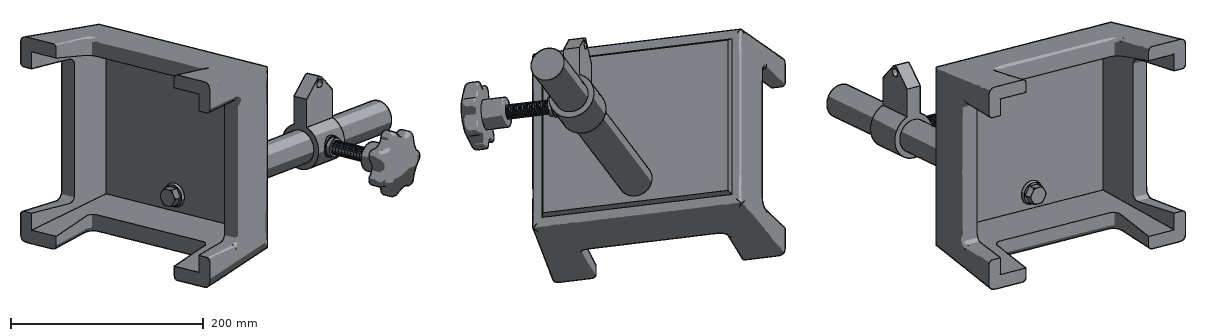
import cadquery as cq
import math


foot_width = 252.77
foot_height = 224.17
foot_depth = 118.65
foot_center_z = 60.7
foot_draft = 6.0
pad_width = 200.0
pad_height = 170.0
pad_thickness = 4.7
pad_chamfer = 3.0
open_end_y = -foot_depth
shoulder_y = -pad_thickness
draft_inset = (foot_depth - pad_thickness) * math.tan(math.radians(foot_draft))

edge_setback = 10.0
edge_fullness = 0.8

rim_wall = 14.8
floor_width = 183.4
floor_height = 156.6
hollow_depth = 98.0
floor_y = open_end_y + hollow_depth

notch_width = 157.5
notch_depth = 56.6
notch_corner_radius = 7.5
notch_edge_radius = 4.5

column_radius = 18.0
column_length = 314.5

bolt_flange_diameter = 26.0
bolt_flange_thickness = 3.0
bolt_flange_taper = 25.0
bolt_across_flats = 18.0
bolt_head_height = 12.0
bolt_face_chamfer = 1.0
bolt_diameter = 12.0
bolt_engagement = 25.0

clamp_y = 207.5
clamp_radius = 24.4
clamp_width = 42.7
lug_thickness = 17.0
lug_shoulder_z = 53.5
lug_nose_radius = 4.5
lug_hole_z = 65.5
lug_hole_diameter = 9.0

bushing_radius = 10.0
bushing_collar_radius = 11.5
bushing_step_x = 25.0
bushing_end_x = 29.7

screw_radius = 7.5
thread_pitch = 2.0
thread_depth = 1.0
screw_depth_in_knob = 20.0

hub_start_x = 75.8
hub_radius = 15.8
hub_edge_radius = 1.5
wheel_start_x = 99.7
knob_end_x = 122.3
dome_radius = 85.0
lobe_count = 7
lobe_radius = 7.0
lobe_center_radius = 29.0
valley_root_radius = 28.0
wheel_back_radius = 2.5
wheel_front_radius = 6.0


def y_cylinder(radius, start_y, length):
    """Cylinder along +Y, centred on the column axis."""
    return cq.Workplane("XZ", origin=(0, start_y, 0)).circle(radius).extrude(-length)


def x_cylinder(radius, start_x, end_x):
    """Cylinder along +X, centred on the clamping screw axis."""
    return cq.Workplane("YZ", origin=(start_x, clamp_y, 0)).circle(radius).extrude(end_x - start_x)


def foot_plane(y):
    """Plane square to Y, centred on the foot, with its normal towards -Y."""
    return cq.Workplane("XZ", origin=(0, y, foot_center_z))


def across_x_plane():
    """Plane square to X, centred on the foot, with local axes Z and Y."""
    return cq.Workplane(cq.Plane(origin=(0, 0, foot_center_z), xDir=(0, 0, 1), normal=(-1, 0, 0)))


def across_z_plane():
    """Plane square to Z, centred on the foot, with local axes X and Y."""
    return cq.Workplane("XY", origin=(0, 0, foot_center_z))


def point_towards(start, end, distance):
    """Point on the straight line from start to end, the given distance from start."""
    share = distance / math.dist(start, end)
    return (start[0] + share * (end[0] - start[0]), start[1] + share * (end[1] - start[1]))


def eased_outline(workplane, corners, eased):
    """Closed polygon whose corners flagged in `eased` become smooth curves tangent to both sides."""
    handle = edge_setback * (1 - edge_fullness)
    outline = None
    for i, corner in enumerate(corners):
        before = corners[i - 1]
        after = corners[(i + 1) % len(corners)]
        if eased[i]:
            entry = point_towards(corner, before, edge_setback)
            leave = point_towards(corner, after, edge_setback)
            pull_in = point_towards(corner, before, handle)
            pull_out = point_towards(corner, after, handle)
        else:
            entry = corner
        outline = workplane.moveTo(*entry) if outline is None else outline.lineTo(*entry)
        if eased[i]:
            outline = outline.bezier([pull_in, pull_out, leave], includeCurrent=True)
    return outline.close()


def rectangle_corners(width, height):
    """Corners of a rectangle centred on the origin."""
    x = width / 2
    y = height / 2
    return [(-x, -y), (x, -y), (x, y), (-x, y)]


def draft_profile(workplane, rim_span):
    """Drafted side profile of the foot with its two shoulder corners eased, swept right across it."""
    rim = rim_span / 2
    shoulder = rim - draft_inset
    corners = [(-rim, open_end_y), (rim, open_end_y), (shoulder, shoulder_y), (-shoulder, shoulder_y)]
    start_plane = workplane.workplane(offset=-foot_width)
    return eased_outline(start_plane, corners, [False, False, True, True]).extrude(2 * foot_width)


def make_foot_block():
    """Solid outside shape of the foot; the eased edges meet in mitres at the shoulder corners."""
    all_eased = [True] * 4
    rim = rectangle_corners(foot_width, foot_height)
    shoulder = rectangle_corners(foot_width - 2 * draft_inset, foot_height - 2 * draft_inset)
    rim_section = eased_outline(foot_plane(open_end_y), rim, all_eased)
    shoulder_section = eased_outline(foot_plane(shoulder_y), shoulder, all_eased)
    sections = [rim_section.val(), shoulder_section.val()]
    block = cq.Workplane(cq.Solid.makeLoft(sections, True))
    block = block.intersect(draft_profile(across_x_plane(), foot_height))
    return block.intersect(draft_profile(across_z_plane(), foot_width))


def make_notch(workplane):
    """Cutter through two opposite walls, open at the rim and rounded in its two inner corners."""
    overrun = notch_corner_radius
    return (
        workplane.center(0, open_end_y + (notch_depth - overrun) / 2)
        .rect(notch_width, notch_depth + overrun)
        .extrude(foot_width, both=True)
        .faces(">Y")
        .edges(cq.ParallelDirSelector(workplane.plane.zDir))
        .fillet(notch_corner_radius)
    )


def on_outer_notch_edge(edge):
    """True for a notch edge that lies on the outside of a wall."""
    center = edge.Center()
    x = abs(center.x)
    z = abs(center.z - foot_center_z)
    inset = (center.y - open_end_y) * math.tan(math.radians(foot_draft))
    tolerance = 0.5
    on_side = abs(x - foot_width / 2 + inset) < tolerance and z < notch_width / 2 + tolerance
    on_end = abs(z - foot_height / 2 + inset) < tolerance and x < notch_width / 2 + tolerance
    in_notch = tolerance < center.y - open_end_y < notch_depth + tolerance
    return in_notch and (on_side or on_end)


def make_pad():
    """Raised pad with sloping sides."""
    return (
        foot_plane(shoulder_y)
        .rect(pad_width + 2 * pad_chamfer, pad_height + 2 * pad_chamfer)
        .workplane(offset=-pad_thickness)
        .rect(pad_width, pad_height)
        .loft(ruled=True)
    )


def make_hollow():
    """Drafted pocket of the foot."""
    return (
        foot_plane(open_end_y)
        .rect(foot_width - 2 * rim_wall, foot_height - 2 * rim_wall)
        .workplane(offset=-hollow_depth)
        .rect(floor_width, floor_height)
        .loft(ruled=True)
    )


def make_foot():
    """Hollow foot on four legs, with a raised pad where the column stands."""
    foot = make_foot_block().cut(make_hollow())
    foot = foot.cut(make_notch(across_x_plane())).cut(make_notch(across_z_plane()))
    outer_edges = [edge for edge in foot.edges().vals() if on_outer_notch_edge(edge)]
    foot = foot.newObject(outer_edges).fillet(notch_edge_radius)
    bolt_hole = y_cylinder(bolt_diameter / 2, floor_y, -floor_y)
    return foot.union(make_pad()).cut(bolt_hole)


def make_column():
    """Round bar, drilled at its foot end for the bolt."""
    column = y_cylinder(column_radius, 0, column_length)
    return column.cut(y_cylinder(bolt_diameter / 2, 0, bolt_engagement))


def make_bolt():
    """Hexagon bolt with a conical flange, its head inside the foot."""
    head_plane = cq.Workplane("XZ", origin=(0, floor_y, 0))
    flange = head_plane.circle(bolt_flange_diameter / 2)
    flange = flange.extrude(bolt_flange_thickness, taper=bolt_flange_taper)
    across_corners = bolt_across_flats / math.cos(math.pi / 6)
    head = head_plane.polygon(6, across_corners).extrude(bolt_head_height)
    crown = head_plane.circle(across_corners / 2).extrude(bolt_head_height)
    crown = crown.faces("<Y").chamfer(bolt_face_chamfer)
    shank = y_cylinder(bolt_diameter / 2, floor_y, bolt_engagement - floor_y)
    return head.intersect(crown).union(flange).union(shank)


def column_bore():
    """Cutter of the column's own size, longer than the clamp."""
    return y_cylinder(column_radius, clamp_y - clamp_width, 2 * clamp_width)


def make_clamp(bushing_bore):
    """Collar around the column with a pierced lug on top and a seat for the bushing."""
    ring = y_cylinder(clamp_radius, clamp_y - clamp_width / 2, clamp_width)

    half_width = clamp_width / 2
    lug = (
        cq.Workplane("YZ", origin=(0, clamp_y, 0))
        .moveTo(-half_width, 0)
        .lineTo(half_width, 0)
        .lineTo(half_width, lug_shoulder_z)
        .lineTo(0, lug_shoulder_z + half_width)
        .lineTo(-half_width, lug_shoulder_z)
        .close()
        .extrude(lug_thickness / 2, both=True)
        .edges(">Z")
        .fillet(lug_nose_radius)
    )
    lug_hole = (
        cq.Workplane("YZ", origin=(0, clamp_y, lug_hole_z))
        .circle(lug_hole_diameter / 2)
        .extrude(lug_thickness, both=True)
    )
    return ring.union(lug).cut(lug_hole).cut(column_bore()).cut(bushing_bore)


def bushing_blank():
    """Outside shape of the bushing before it is bored."""
    shoulder = x_cylinder(bushing_collar_radius, 0, bushing_step_x)
    return shoulder.union(x_cylinder(bushing_radius, 0, bushing_end_x))


def make_bushing():
    """Stepped bushing, trimmed flush with the column."""
    return bushing_blank().cut(column_bore()).cut(x_cylinder(screw_radius, 0, bushing_end_x))


def make_screw():
    """Plain-ended screw with ring-shaped thread grooves along its exposed length."""
    screw_end_x = hub_start_x + screw_depth_in_knob
    crest = clamp_y + screw_radius
    profile = cq.Workplane("XY").moveTo(column_radius, clamp_y).lineTo(column_radius, crest)
    profile = profile.lineTo(bushing_end_x, crest)
    groove_count = int((hub_start_x - bushing_end_x) / thread_pitch)
    for i in range(groove_count):
        groove_x = bushing_end_x + i * thread_pitch
        profile = profile.lineTo(groove_x + thread_pitch / 2, crest - thread_depth)
        profile = profile.lineTo(groove_x + thread_pitch, crest)
    profile = profile.lineTo(screw_end_x, crest).lineTo(screw_end_x, clamp_y).close()
    return profile.revolve(360, (0, clamp_y, 0), (1, clamp_y, 0))


def polar(radius, angle):
    """Local coordinates of a point given by its radius and its angle in radians."""
    return (radius * math.cos(angle), radius * math.sin(angle))


def make_wheel():
    """Domed hand wheel with rounded lobes."""
    half_step = math.pi / lobe_count
    cos_half = math.cos(half_step)
    gap = (
        lobe_center_radius**2
        + valley_root_radius**2
        - 2 * lobe_center_radius * valley_root_radius * cos_half
        - lobe_radius**2
    )
    valley_radius = gap / (2 * (lobe_radius + lobe_center_radius * cos_half - valley_root_radius))
    valley_x, valley_y = polar(valley_root_radius + valley_radius, half_step)
    share = lobe_radius / (lobe_radius + valley_radius)
    tangent_x = lobe_center_radius + share * (valley_x - lobe_center_radius)
    tangent_y = share * valley_y
    tangent_radius = math.hypot(tangent_x, tangent_y)
    tangent_angle = math.atan2(tangent_y, tangent_x)

    outline = cq.Workplane("YZ", origin=(wheel_start_x, clamp_y, 0))
    outline = outline.moveTo(*polar(tangent_radius, -tangent_angle))
    for i in range(lobe_count):
        lobe_angle = 2 * half_step * i
        outline = outline.threePointArc(
            polar(lobe_center_radius + lobe_radius, lobe_angle),
            polar(tangent_radius, lobe_angle + tangent_angle),
        )
        outline = outline.threePointArc(
            polar(valley_root_radius, lobe_angle + half_step),
            polar(tangent_radius, lobe_angle + 2 * half_step - tangent_angle),
        )
    wheel = outline.close().extrude(knob_end_x - wheel_start_x)
    dome = cq.Workplane("XY", origin=(knob_end_x - dome_radius, clamp_y, 0)).sphere(dome_radius)
    wheel = wheel.intersect(dome)
    wheel = wheel.edges("<X").fillet(wheel_back_radius)
    return wheel.faces(">X").edges().fillet(wheel_front_radius)


def make_knob():
    """Hand wheel and hub, bored for the screw."""
    hub = x_cylinder(hub_radius, hub_start_x, wheel_start_x + wheel_back_radius)
    hub = hub.edges("<X").fillet(hub_edge_radius)
    screw_hole = x_cylinder(screw_radius, hub_start_x, hub_start_x + screw_depth_in_knob)
    return make_wheel().union(hub).cut(screw_hole)


foot = make_foot()
column = make_column()
bolt = make_bolt()
clamp = make_clamp(bushing_blank())
bushing = make_bushing()
screw = make_screw()
knob = make_knob()

result = cq.Compound.makeCompound(
    [foot.val(), column.val(), bolt.val(), clamp.val(), bushing.val(), screw.val(), knob.val()]
)